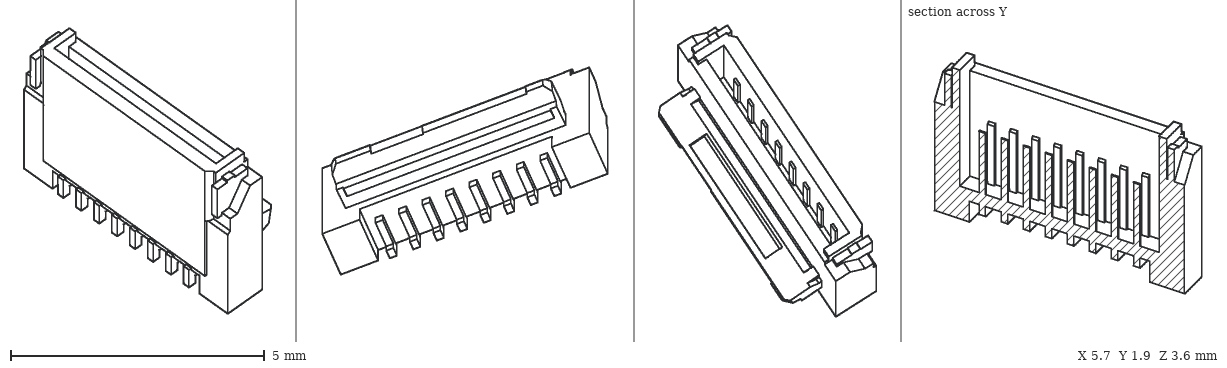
import cadquery as cq


width = 5.7
height = 3.6
rear_y = 1.025
front_y = 0.07
base_underside_z = 0.5
leg_inner_x = 2.05

shroud_half_width = 2.445
shroud_plate_y = 0.015
shroud_step_y = 0.135
shroud_rear_y = 0.93
rear_wall_z = 3.35
plate_half_width = 2.265
plate_bottom_z = 0.67
plate_bevel = shroud_step_y - shroud_plate_y
cavity_front_y = 0.325
cavity_rear_y = 0.735
cavity_floor_z = 0.805

arm_top_z = 3.145
arm_slope_rear_y = 0.69
arm_slope_front_y = 0.335
arm_ledge_z = 2.61
arm_bevel = shroud_step_y - front_y
arm_step_z = 2.275

clip_gap = 0.015
clip_thickness = 0.155
clip_front_y = 0.01
clip_rear_y = 0.85
clip_bottom_z = 2.54
clip_top_z = rear_wall_z
clip_tab_front_y = 0.29
clip_tab_rear_y = 0.495
clip_tab_height = 0.05

contact_count = 8
contact_pitch = 0.5
contact_width = 0.155
tail_depth = 0.18
tail_bottom_z = 0.055
tail_top_z = 0.555
bar_bottom_z = 0.26
contact_height = 0.05
contact_top_z = 2.28
contact_lead_in = 0.04

latch_tilt = 9.3
latch_root_z = 1.5
latch_half_width = 2.35
latch_length = 0.845
latch_tail_length = 0.585
latch_thickness = 0.69
latch_tip_thickness = 0.3
latch_tail_shoulder = 0.48
latch_corner_bevel = 0.135
pad_height = 0.045
left_pad_inner_x = -1.845
right_pad_inner_x = 1.475
ledge_end_x = 0.37
ledge_height = 0.015
nub_length = 0.2
nub_height = 0.045
nub_inset = 0.135
notch_start_u = 0.28
notch_end_u = 0.1
notch_depth = 0.18
side_notch_inner_x = 2.25
hinge_slot_half_width = 2.035
hinge_slot_start_u = 0.23
hinge_slot_depth = 0.1
hinge_slot_step_u = 0.06
hinge_slot_step_depth = 0.14
pocket_half_width = 1.37
pocket_front_u = 0.295
pocket_rear_u = 0.7
pocket_depth = 0.1
pocket_front_draft = 0.07


def box(x0, x1, y0, y1, z0, z1):
    """Box between two opposite corners."""
    return cq.Workplane("XY").box(x1 - x0, y1 - y0, z1 - z0, centered=False).translate((x0, y0, z0))


def extrude_yz(points, x0, x1):
    """Prism along X from an outline in the YZ plane."""
    return cq.Workplane("YZ").polyline(points).close().extrude(x1 - x0).translate((x0, 0, 0))


def both_sides(solid):
    """A feature together with its mirror image across the YZ plane."""
    return solid.union(solid.mirror("YZ"))


def make_housing():
    half_width = width / 2
    bevel_bottom_z = arm_step_z - arm_bevel
    arm_outline = [
        (rear_y, 0),
        (rear_y, arm_top_z),
        (arm_slope_rear_y, arm_top_z),
        (arm_slope_front_y, arm_ledge_z),
        (shroud_step_y, arm_ledge_z),
        (shroud_step_y, arm_step_z),
        (front_y, bevel_bottom_z),
        (front_y, 0),
    ]
    arm = extrude_yz(arm_outline, -half_width, -leg_inner_x)
    core = box(-shroud_half_width, shroud_half_width, shroud_step_y, rear_y, base_underside_z, rear_wall_z)
    rim = box(-shroud_half_width, shroud_half_width, shroud_step_y, shroud_rear_y, rear_wall_z, height)
    base_front = box(-leg_inner_x, leg_inner_x, front_y, rear_y, base_underside_z, bevel_bottom_z)
    plate = box(-plate_half_width, plate_half_width, shroud_plate_y, shroud_step_y, plate_bottom_z, height)
    plate_edge = (
        cq.Workplane("XY", origin=(0, 0, bevel_bottom_z))
        .moveTo(-plate_half_width, shroud_plate_y)
        .lineTo(-plate_half_width, shroud_step_y)
        .lineTo(-plate_half_width - plate_bevel, shroud_step_y)
        .close()
        .extrude(height - bevel_bottom_z)
    )
    body = core.union(rim).union(base_front).union(plate)
    body = body.union(both_sides(arm)).union(both_sides(plate_edge))
    cavity = box(
        -plate_half_width, plate_half_width, cavity_front_y, cavity_rear_y, cavity_floor_z, height
    )
    mouth = box(-plate_half_width, plate_half_width, cavity_front_y, rear_y, rear_wall_z, height)
    return body.cut(cavity).cut(mouth)


def make_clip():
    inner_x = -shroud_half_width - clip_gap
    outer_x = inner_x - clip_thickness
    blade = box(outer_x, inner_x, clip_front_y, clip_rear_y, clip_bottom_z, clip_top_z)
    tab = box(outer_x, inner_x, clip_tab_front_y, clip_tab_rear_y, clip_top_z, clip_top_z + clip_tab_height)
    return blade.union(tab)


def make_contact(x):
    x0 = x - contact_width / 2
    x1 = x + contact_width / 2
    tail = box(x0, x1, 0, tail_depth, tail_bottom_z, tail_top_z)
    bar = box(x0, x1, 0, cavity_rear_y, bar_bottom_z, base_underside_z)
    front_strip = box(
        x0, x1, cavity_front_y, cavity_front_y + contact_height, cavity_floor_z, contact_top_z
    )
    rear_outline = [
        (cavity_rear_y, cavity_floor_z),
        (cavity_rear_y, contact_top_z),
        (cavity_rear_y - contact_height, contact_top_z - contact_lead_in),
        (cavity_rear_y - contact_height, cavity_floor_z),
    ]
    return [tail, bar, front_strip, extrude_yz(rear_outline, x0, x1)]


def bevelled_pad(x0, x1, pad_thickness):
    """Raised pad on the rear face of the latch, bevelled along its upper and lower edges."""
    pad_u = latch_length + pad_thickness
    outline = [
        (0, 0),
        (latch_length, 0),
        (pad_u, -pad_thickness),
        (pad_u, pad_thickness - latch_tip_thickness),
        (latch_length, -latch_tip_thickness),
        (0, -latch_tip_thickness),
    ]
    return extrude_yz(outline, x0, x1)


def make_latch():
    root_u = -0.115
    outline = [
        (root_u, 0),
        (latch_length, 0),
        (latch_length, -latch_tip_thickness),
        (latch_tail_length, -latch_tail_shoulder),
        (latch_tail_length, -latch_thickness),
        (root_u, -latch_thickness),
    ]
    latch = extrude_yz(outline, -latch_half_width, latch_half_width)
    latch = latch.union(bevelled_pad(-latch_half_width, left_pad_inner_x, pad_height))
    latch = latch.union(bevelled_pad(right_pad_inner_x, latch_half_width, pad_height))
    latch = latch.union(bevelled_pad(left_pad_inner_x, ledge_end_x, ledge_height))
    nub = box(
        nub_inset - latch_half_width, latch_half_width - nub_inset,
        latch_tail_length - nub_length, latch_tail_length,
        -latch_thickness - nub_height, -latch_thickness,
    )
    latch = latch.union(nub)

    tip_u = latch_length + pad_height
    corner = (
        cq.Workplane("XY", origin=(0, 0, -latch_thickness))
        .moveTo(-latch_half_width, tip_u)
        .lineTo(-latch_half_width, tip_u - latch_corner_bevel)
        .lineTo(-latch_half_width + latch_corner_bevel, tip_u)
        .close()
        .extrude(latch_thickness)
    )
    latch = latch.cut(both_sides(corner))

    side_notch = [(root_u, 0), (notch_start_u, 0), (notch_end_u, -notch_depth), (root_u, -notch_depth)]
    latch = latch.cut(both_sides(extrude_yz(side_notch, -latch_half_width, -side_notch_inner_x)))
    hinge_slot = [
        (root_u, 0),
        (hinge_slot_start_u, 0),
        (notch_end_u, -hinge_slot_depth),
        (hinge_slot_step_u, -hinge_slot_step_depth),
        (root_u, -hinge_slot_step_depth),
    ]
    latch = latch.cut(extrude_yz(hinge_slot, -hinge_slot_half_width, hinge_slot_half_width))

    pocket = [
        (pocket_front_u, 0),
        (pocket_rear_u, 0),
        (pocket_rear_u, -pocket_depth),
        (pocket_front_u + pocket_front_draft, -pocket_depth),
    ]
    latch = latch.cut(extrude_yz(pocket, -pocket_half_width, pocket_half_width))
    return latch.rotate((0, 0, 0), (1, 0, 0), -latch_tilt).translate((0, rear_y, latch_root_z))


result = make_housing().union(both_sides(make_clip())).union(make_latch())
for index in range(contact_count):
    contact_x = (index - (contact_count - 1) / 2) * contact_pitch
    for piece in make_contact(contact_x):
        result = result.union(piece)